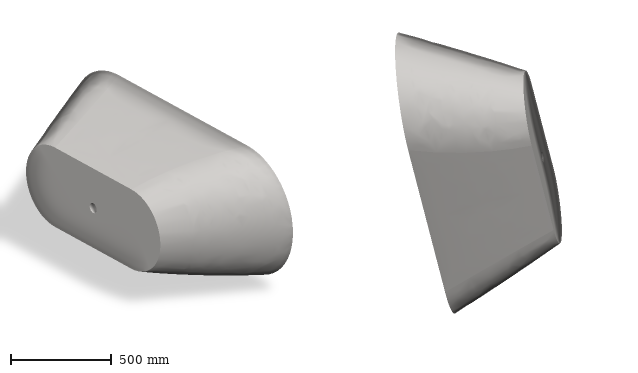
import cadquery as cq

rim_length = 1682.0
rim_width = 696.0
depth = 585.0
base_length = 1030.0
base_width = 444.0
side_bulge = 17.0
drain_diameter = 54.0
section_count = 5


def slot_size(fraction):
    """Length and width of the outline at a fraction of the way from base to rim."""
    length = base_length + (rim_length - base_length) * fraction
    straight_width = base_width + (rim_width - base_width) * fraction
    bow = 4 * side_bulge * fraction * (1 - fraction)
    return length, straight_width + 2 * bow


def tub_body():
    """Smooth loft through round-ended outlines: straight ends, bowed long sides."""
    sections = cq.Workplane("XZ", origin=(0, depth / 2, 0))
    sections = sections.slot2D(*slot_size(1))
    step = depth / (section_count - 1)
    for index in range(1, section_count):
        fraction = 1 - index / (section_count - 1)
        sections = sections.workplane(offset=step).slot2D(*slot_size(fraction))
    return sections.loft(combine=True)


def drain_hole():
    """Round drain running along Y through the middle of the base."""
    return cq.Workplane("XZ").circle(drain_diameter / 2).extrude(depth, both=True)


result = tub_body().cut(drain_hole())